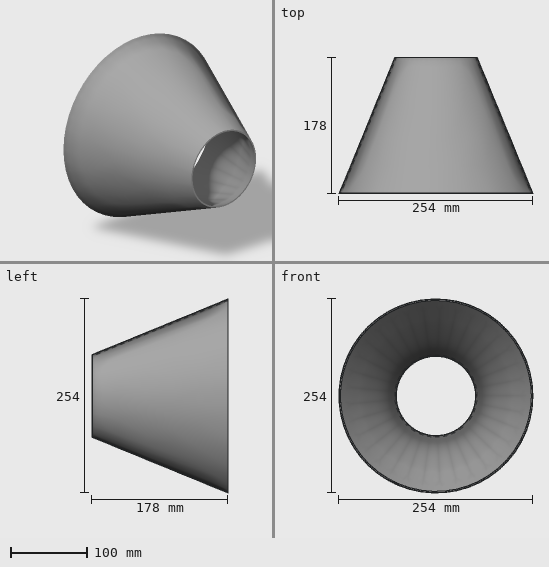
import cadquery as cq

large_diameter = 254.0
small_diameter = 108.0
length = 178.0
wall = 2.0

large_radius = large_diameter / 2
small_radius = small_diameter / 2

wall_section = (
    cq.Workplane("XY")
    .moveTo(large_radius - wall, 0)
    .lineTo(large_radius, 0)
    .lineTo(small_radius, length)
    .lineTo(small_radius - wall, length)
    .close()
)

result = wall_section.revolve(360, (0, 0, 0), (0, 1, 0))